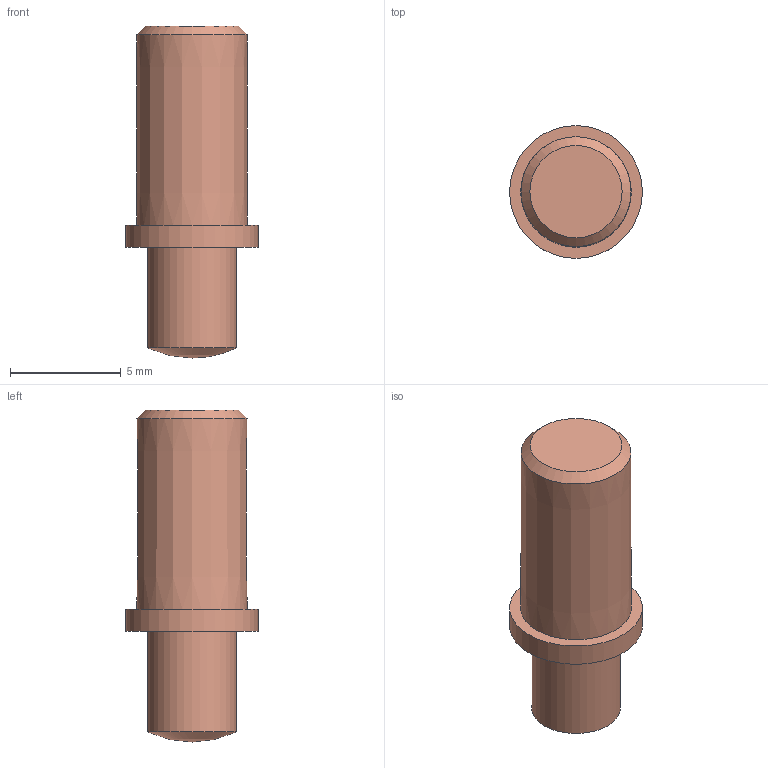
import cadquery as cq
import math

body_base_diameter = 5.0
body_length = 9.0
body_draft_angle = 0.1
top_chamfer = 0.4
flange_diameter = 6.0
flange_thickness = 1.0
shank_diameter = 4.0
shank_length = 5.0
dome_radius = 4.62

flange_top = flange_thickness
body_top = flange_top + body_length
chamfer_foot = body_top - top_chamfer
tip = -shank_length

flange_radius = flange_diameter / 2
shank_radius = shank_diameter / 2
body_base_radius = body_base_diameter / 2
body_taper = (chamfer_foot - flange_top) * math.tan(math.radians(body_draft_angle))
body_top_radius = body_base_radius - body_taper


def dome_point(radius):
    """Point on the spherical dome profile at a given distance from the axis."""
    rise = dome_radius - math.sqrt(dome_radius**2 - radius**2)
    return (radius, tip + rise)


def make_pin():
    """Revolve the half profile of the domed shank, flange and tapered body about Z."""
    profile = (
        cq.Workplane("XZ")
        .moveTo(0, tip)
        .threePointArc(dome_point(shank_radius / 2), dome_point(shank_radius))
        .lineTo(shank_radius, 0)
        .lineTo(flange_radius, 0)
        .lineTo(flange_radius, flange_top)
        .lineTo(body_base_radius, flange_top)
        .lineTo(body_top_radius, chamfer_foot)
        .lineTo(body_top_radius - top_chamfer, body_top)
        .lineTo(0, body_top)
        .close()
    )
    return profile.revolve(360, (0, 0, 0), (0, 1, 0))


result = make_pin()